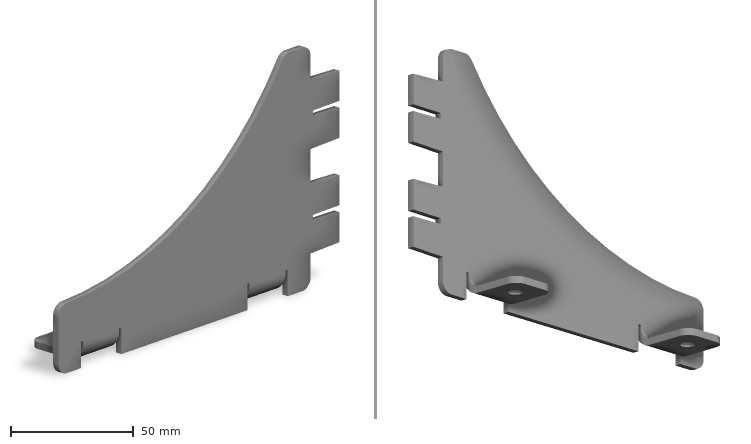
import cadquery as cq
import math


thickness = 3.0
web_length = 151.6
web_height = 105.0
nose_height = 30.2
crest_length = 15.3
sweep_radius = 160.0
corner_radius = 5.0

tab_centers_z = (30.0, 75.0)
tab_length = 17.3
tab_root_width = 30.0
tab_tip_width = 29.0
slit_depth = 16.0
slit_root_width = 2.5
slit_mouth_width = 2.9

flange_spacing = 100.0
flange_midpoint_y = 75.7
flange_centers_y = [flange_midpoint_y + side * flange_spacing / 2 for side in (-1, 1)]
flange_width = 21.4
flange_reach = 30.0
flange_bottom = 2.0
flange_corner_radius = 5.0
bend_inner_radius = 5.0
bend_outer_radius = bend_inner_radius + thickness
bend_top = flange_bottom + bend_outer_radius
hole_diameter = 6.0
hole_from_tip = 11.0

notch_width = 24.4
notch_height = 11.5


def plate(outline):
    """Extrude a YZ outline through the web thickness, from X = 0 towards -X."""
    return outline.close().extrude(-thickness)


def sweep_midpoint(start, end):
    """Point halfway along the concave edge, on the lower side of its chord."""
    mid_y = (start[0] + end[0]) / 2
    mid_z = (start[1] + end[1]) / 2
    run = end[0] - start[0]
    rise = end[1] - start[1]
    chord = math.hypot(run, rise)
    sag = sweep_radius - math.sqrt(sweep_radius**2 - (chord / 2) ** 2)
    return mid_y + sag * rise / chord, mid_z - sag * run / chord


def make_web():
    nose = (0, nose_height)
    crest = (web_length - crest_length, web_height)
    outline = (
        cq.Workplane("YZ")
        .moveTo(0, 0)
        .lineTo(*nose)
        .threePointArc(sweep_midpoint(nose, crest), crest)
        .lineTo(web_length, web_height)
        .lineTo(web_length, 0)
    )
    return plate(outline).edges("|X").fillet(corner_radius)


def trapezoid(y_start, y_end, center_z, start_width, end_width):
    """Tapered plate along Y, symmetric about center_z."""
    outline = cq.Workplane("YZ").polyline([
        (y_start, center_z - start_width / 2),
        (y_end, center_z - end_width / 2),
        (y_end, center_z + end_width / 2),
        (y_start, center_z + start_width / 2),
    ])
    return plate(outline)


def make_hook_tab(center_z):
    tip_y = web_length + tab_length
    tab = trapezoid(web_length, tip_y, center_z, tab_root_width, tab_tip_width)
    slit = trapezoid(tip_y - slit_depth, tip_y, center_z, slit_root_width, slit_mouth_width)
    return tab.cut(slit)


def make_notch(center_y):
    """Cutter for both bend reliefs and the space below the bend."""
    notch = cq.Workplane("YZ").center(center_y, notch_height / 2).rect(notch_width, notch_height)
    neck_height = notch_height - bend_top
    neck = (
        cq.Workplane("YZ")
        .center(center_y, bend_top + neck_height / 2)
        .rect(flange_width, neck_height)
    )
    return notch.extrude(-thickness).cut(neck.extrude(-thickness))


def make_flange(center_y):
    """Quarter-round bend followed by the flat flange with its screw hole."""
    flange_top = flange_bottom + thickness
    bend_end_x = -bend_outer_radius
    diagonal = math.sqrt(0.5)
    outer_mid = (bend_end_x + bend_outer_radius * diagonal, bend_top - bend_outer_radius * diagonal)
    inner_mid = (bend_end_x + bend_inner_radius * diagonal, bend_top - bend_inner_radius * diagonal)
    flange = (
        cq.Workplane("XZ", origin=(0, center_y, 0))
        .moveTo(0, bend_top)
        .threePointArc(outer_mid, (bend_end_x, flange_bottom))
        .lineTo(-flange_reach, flange_bottom)
        .lineTo(-flange_reach, flange_top)
        .lineTo(bend_end_x, flange_top)
        .threePointArc(inner_mid, (-thickness, bend_top))
        .close()
        .extrude(flange_width / 2, both=True)
    )
    flange = flange.faces("<X").edges("|Z").fillet(flange_corner_radius)
    hole = (
        cq.Workplane("XY", origin=(-flange_reach + hole_from_tip, center_y, flange_bottom))
        .circle(hole_diameter / 2)
        .extrude(thickness)
    )
    return flange.cut(hole)


result = make_web()
for tab_z in tab_centers_z:
    result = result.union(make_hook_tab(tab_z))
for flange_y in flange_centers_y:
    result = result.cut(make_notch(flange_y)).union(make_flange(flange_y))
result = result.clean()